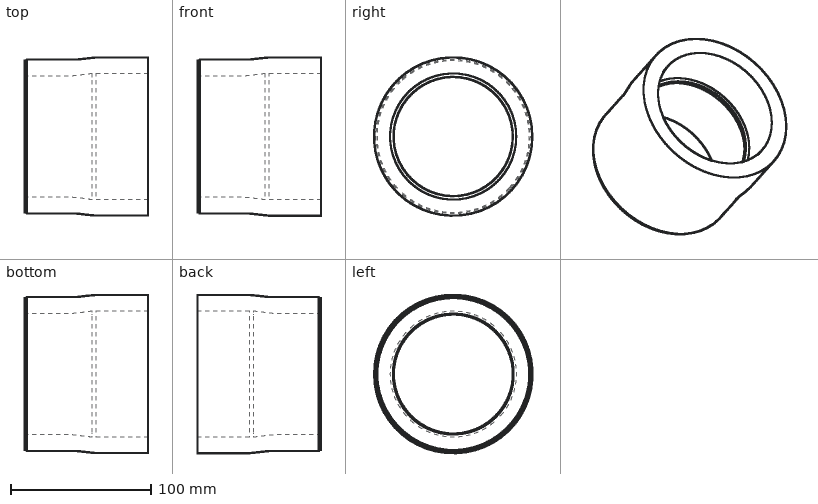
import cadquery as cq

length = 88.0

body_diameter = 113.0
spigot_diameter = 110.0
end_band_diameter = 108.4
end_band_length = 1.0
end_bevel = (spigot_diameter - end_band_diameter) / 2
spigot_length = 37.1
outer_taper_length = 13.9

entry_bore_diameter = 86.2
entry_bore_length = 32.5
main_bore_diameter = 90.0
shoulder_position = 48.3
shoulder_width = 2.7
shoulder_bore_diameter = 84.8


def outer_solid():
    """Revolve the stepped and tapered outside as a solid."""
    body_start = spigot_length + outer_taper_length
    return (
        cq.Workplane("XY")
        .moveTo(0, 0)
        .lineTo(0, end_band_diameter / 2)
        .lineTo(end_band_length, end_band_diameter / 2)
        .lineTo(end_band_length + end_bevel, spigot_diameter / 2)
        .lineTo(spigot_length, spigot_diameter / 2)
        .lineTo(body_start, body_diameter / 2)
        .lineTo(length, body_diameter / 2)
        .lineTo(length, 0)
        .close()
        .revolve(360, (0, 0, 0), (1, 0, 0))
    )


def bore():
    """Revolve the through bore: straight entry, flare, narrow shoulder, main bore."""
    shoulder_end = shoulder_position + shoulder_width
    return (
        cq.Workplane("XY")
        .moveTo(0, 0)
        .lineTo(0, entry_bore_diameter / 2)
        .lineTo(entry_bore_length, entry_bore_diameter / 2)
        .lineTo(shoulder_position, main_bore_diameter / 2)
        .lineTo(shoulder_position, shoulder_bore_diameter / 2)
        .lineTo(shoulder_end, shoulder_bore_diameter / 2)
        .lineTo(shoulder_end, main_bore_diameter / 2)
        .lineTo(length, main_bore_diameter / 2)
        .lineTo(length, 0)
        .close()
        .revolve(360, (0, 0, 0), (1, 0, 0))
    )


result = outer_solid().cut(bore())